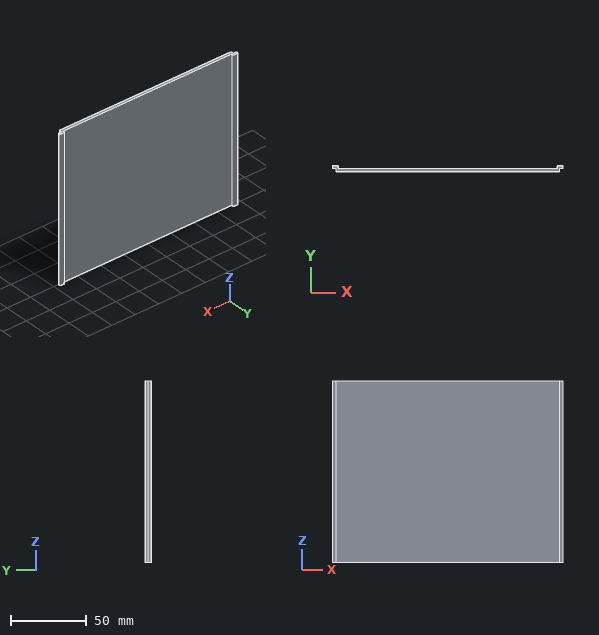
import cadquery as cq

width = 152.4
depth = 4.3
height = 120.0

plate_thickness = 2.5
lip_thickness = 2.0
lip_overhang = 2.5
lip_width = 4.0

outer_round = 0.6
inner_round = 0.5

half_width = width / 2
half_plate = half_width - lip_overhang
half_channel = half_width - lip_width
front_y = -depth / 2
back_y = depth / 2
plate_back_y = front_y + plate_thickness
lip_front_y = back_y - lip_thickness

right_half = [
    (0, front_y),
    (half_plate, front_y),
    (half_plate, lip_front_y),
    (half_width, lip_front_y),
    (half_width, back_y),
    (half_channel, back_y),
    (half_channel, plate_back_y),
    (0, plate_back_y),
]
left_half = [(-x, y) for x, y in reversed(right_half[1:-1])]

panel = (
    cq.Workplane("XY")
    .workplane(offset=-height / 2)
    .polyline(right_half + left_half)
    .close()
    .extrude(height)
)


def round_edges(body, x, y, radius):
    """Round the mirrored pair of full-height edges at +x and -x."""
    edges = cq.selectors.NearestToPointSelector
    right_edge = edges((x, y, 0))
    left_edge = edges((-x, y, 0))
    return body.edges("|Z").edges(right_edge + left_edge).fillet(radius)


panel = round_edges(panel, half_plate, front_y, outer_round)
panel = round_edges(panel, half_width, lip_front_y, outer_round)
panel = round_edges(panel, half_plate, lip_front_y, inner_round)
panel = round_edges(panel, half_channel, back_y, outer_round)
panel = round_edges(panel, half_width, back_y, outer_round)

result = panel